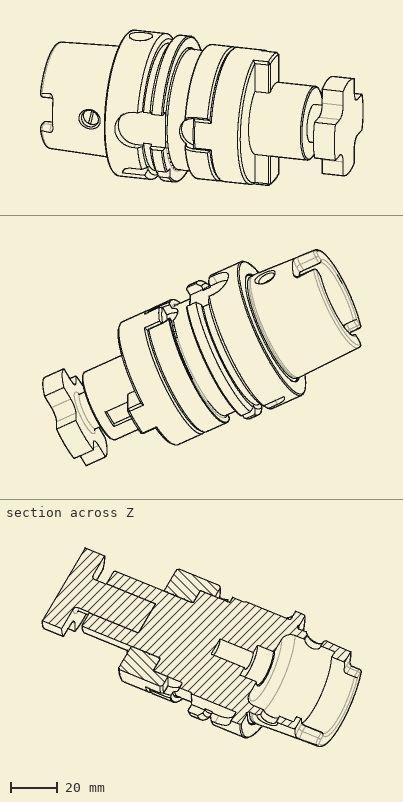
import cadquery as cq
import math

OVERALL_LENGTH = 132.0
SEAM_TURN = 30

NOSE_RADIUS = 23.0
TAPER_END_RADIUS = 24.09
TAPER_END = 30.1
NOSE_ROUND = 1.0
RELIEF_SLOPE = 0.8
RELIEF_RADIUS = 23.9
UNDERCUT_RADIUS = 25.2
UNDERCUT_DEPTH = 0.7
BORE_RADIUS = 17.0
BORE_DEPTH = 12.5
CAVITY_RADIUS = 20.0
CAVITY_FLOOR = 35.6
CAVITY_FLOOR_ROUND = 4.2
POCKET_BORE_RADIUS = 8.5
POCKET_BORE_CHAMFER = 0.4
POCKET_BORE_DEPTH = 43.5
COOLANT_RADIUS = 4.2
COOLANT_DEPTH = 59.4
SLOT_WIDTH = 12.3
SLOT_ROUND = 2.4
SLOT_FLOOR_ROUND = 1.6
FRONT_SLOT_DEPTH = 6.2
REAR_SLOT_DEPTH = 10.2
SIDE_HOLE_DIAMETER = 7.5
SIDE_HOLE_SINK_DIAMETER = 9.6
SIDE_HOLE_X = 23.0

FLANGE_START = 32.0
FLANGE_END = 58.0
FLANGE_RADIUS = 31.5
FLANGE_EDGE = 0.5
GROOVE_RADIUS = 27.5
GROOVE_CENTRE = 49.9
GROOVE_FLOOR_WIDTH = 3.4
GROOVE_MOUTH_WIDTH = 6.5
GROOVE_BEVEL_DEPTH = 2.1
KEYWAY_RADIUS = 8.0
KEYWAY_START = 36.8
KEYWAY_FLOOR = 26.5
CORNER_NOTCH = 20.0
CORNER_NOTCH_START = 42.1
CORNER_NOTCH_ROUND = 5.4
DATA_HOLE_DIAMETER = 10.0
DATA_HOLE_X = 38.8
DATA_HOLE_DEPTH = 4.0

NECK_RADIUS = 26.0
NECK_ROUND = 0.7
COLLAR_START = 67.2
COLLAR_END = 78.1
COLLAR_RADIUS = 28.97
COLLAR_REAR_CHAMFER = 0.3
EDGE_CHAMFER = 0.9
SPIGOT_RADIUS = 16.0
SPIGOT_END = 115.8
SPIGOT_CHAMFER = 0.5
KEY_SLOT_WIDTH = 8.0
KEY_SLOT_DEPTH = 3.0
KEY_SLOT_END = 110.6

LUG_WIDTH = 13.9
LUG_END_CHAMFER = 0.7
RING_FACE = 92.0
FRONT_LUG_END = 98.7
REAR_LUG_END = 70.9
DRIVE_SLOT_END = 64.2
DRIVE_SLOT_FLOOR = 23.1

SHANK_RADIUS = 8.2
SHANK_START = 92.4
HEAD_START = 122.6
HEAD_RADIUS = 21.0
HEAD_ROUND = 1.6
ARM_WIDTH = 16.4
ARM_CORNER_ROUND = 4.8


def turned(points):
    """Solid of revolution about X from (x, radius) points; both ends close on the axis."""
    outline = [(points[0][0], 0), *points, (points[-1][0], 0)]
    solid = cq.Workplane("XY").polyline(outline).close().revolve(360, (0, 0, 0), (1, 0, 0))
    return solid.rotate((0, 0, 0), (1, 0, 0), SEAM_TURN)


def block(x_range, y_range, z_range):
    size = [high - low for low, high in (x_range, y_range, z_range)]
    corner = (x_range[0], y_range[0], z_range[0])
    return cq.Workplane("XY").box(*size, centered=False).translate(corner)


def cylinder_along_y(x, z, radius, y_start, y_end):
    start = cq.Vector(x, y_start, z)
    return cq.Workplane(cq.Solid.makeCylinder(radius, y_end - y_start, start, cq.Vector(0, 1, 0)))


def taper_radius(x):
    return NOSE_RADIUS + (TAPER_END_RADIUS - NOSE_RADIUS) * x / TAPER_END


def on_radius_test(radius):
    """Test for edges that lie wholly on the cylinder of this radius about X."""
    def lies_on(edge):
        points = [edge.positionAt(part) for part in (0, 0.5, 1)]
        return all(abs(math.hypot(point.y, point.z) - radius) < 0.001 for point in points)
    return lies_on


def chamfer_rim(body, x_start):
    """Chamfer the edges around the outer collar-sized surface, beyond x_start."""
    lies_on = on_radius_test(COLLAR_RADIUS)
    rim = [edge for edge in body.edges().vals() if lies_on(edge) and edge.Center().x > x_start]
    return body.newObject(rim).chamfer(EDGE_CHAMFER)


def holder_blank():
    undercut_floor = FLANGE_START + UNDERCUT_DEPTH
    floor_half = GROOVE_FLOOR_WIDTH / 2
    mouth_half = GROOVE_MOUTH_WIDTH / 2
    bevel_radius = FLANGE_RADIUS - GROOVE_BEVEL_DEPTH
    nose = turned([(0, NOSE_RADIUS), (TAPER_END, TAPER_END_RADIUS)])
    rest = turned([
        (TAPER_END, TAPER_END_RADIUS),
        (TAPER_END + RELIEF_SLOPE, RELIEF_RADIUS),
        (FLANGE_START - UNDERCUT_DEPTH / 2, RELIEF_RADIUS),
        (undercut_floor, RELIEF_RADIUS + 1.5 * UNDERCUT_DEPTH),
        (undercut_floor, UNDERCUT_RADIUS),
        (FLANGE_START, UNDERCUT_RADIUS),
        (FLANGE_START, FLANGE_RADIUS - FLANGE_EDGE),
        (FLANGE_START + FLANGE_EDGE, FLANGE_RADIUS),
        (GROOVE_CENTRE - mouth_half, FLANGE_RADIUS),
        (GROOVE_CENTRE - floor_half, bevel_radius),
        (GROOVE_CENTRE - floor_half, GROOVE_RADIUS),
        (GROOVE_CENTRE + floor_half, GROOVE_RADIUS),
        (GROOVE_CENTRE + floor_half, bevel_radius),
        (GROOVE_CENTRE + mouth_half, FLANGE_RADIUS),
        (FLANGE_END - FLANGE_EDGE, FLANGE_RADIUS),
        (FLANGE_END, FLANGE_RADIUS - FLANGE_EDGE),
        (FLANGE_END, NECK_RADIUS),
        (COLLAR_START, NECK_RADIUS),
        (COLLAR_START, COLLAR_RADIUS - COLLAR_REAR_CHAMFER),
        (COLLAR_START + COLLAR_REAR_CHAMFER, COLLAR_RADIUS),
        (COLLAR_END, COLLAR_RADIUS),
        (COLLAR_END, SPIGOT_RADIUS),
        (SPIGOT_END - SPIGOT_CHAMFER, SPIGOT_RADIUS),
        (SPIGOT_END, SPIGOT_RADIUS - SPIGOT_CHAMFER),
    ])
    at_neck = on_radius_test(NECK_RADIUS)
    neck_ends = [edge for edge in rest.edges("%CIRCLE").vals() if at_neck(edge)]
    return nose.union(rest.newObject(neck_ends).fillet(NECK_ROUND))


def taper_cavity():
    """Clamping bore, wider cavity with a rounded floor, then a stepped bore on the axis."""
    entry = turned([
        (0, BORE_RADIUS),
        (BORE_DEPTH, BORE_RADIUS),
        (BORE_DEPTH, CAVITY_RADIUS),
        (CAVITY_FLOOR, CAVITY_RADIUS),
    ]).faces(">X").edges().fillet(CAVITY_FLOOR_ROUND)
    axis_bore = turned([
        (CAVITY_FLOOR, POCKET_BORE_RADIUS + POCKET_BORE_CHAMFER),
        (CAVITY_FLOOR + POCKET_BORE_CHAMFER, POCKET_BORE_RADIUS),
        (POCKET_BORE_DEPTH, POCKET_BORE_RADIUS),
        (POCKET_BORE_DEPTH, COOLANT_RADIUS),
        (COOLANT_DEPTH, COOLANT_RADIUS),
    ])
    return entry.union(axis_bore)


def nose_slot(depth):
    """Slot through the nose wall on the +Y side; its walls curve outward to meet the taper."""
    half = SLOT_WIDTH / 2
    surface = taper_radius(depth)
    centre_z = half + SLOT_ROUND
    centre_y = math.sqrt((surface - SLOT_ROUND) ** 2 - centre_z**2)
    angle = math.atan2(centre_z, centre_y)

    def on_rounding(turn):
        return centre_y + SLOT_ROUND * math.cos(turn), centre_z + SLOT_ROUND * math.sin(turn)

    middle = on_rounding((angle - math.pi / 2) / 2)
    tip = on_rounding(angle)
    outer = surface + 2.6
    rim = (outer * math.cos(angle), outer * math.sin(angle))
    slot = (
        cq.Workplane("YZ", origin=(-1.3, 0, 0))
        .moveTo(0, half)
        .lineTo(centre_y, half)
        .threePointArc(middle, tip)
        .lineTo(*rim)
        .lineTo(rim[0], -rim[1])
        .lineTo(tip[0], -tip[1])
        .threePointArc((middle[0], -middle[1]), (centre_y, -half))
        .lineTo(0, -half)
        .close()
        .extrude(depth + 1.3)
    )
    walls = cq.selectors.BoxSelector((depth - 0.1, 0.1, -rim[1]), (depth + 0.1, tip[0], rim[1]))
    return slot.edges(walls).fillet(SLOT_FLOOR_ROUND)


def drive_slot():
    """Slot through the collar and into the neck, with a round end."""
    radius = LUG_WIDTH / 2
    centre_x = DRIVE_SLOT_END + radius
    y_range = (DRIVE_SLOT_FLOOR, COLLAR_RADIUS + 1.3)
    straight = block((centre_x, COLLAR_END + 1.3), y_range, (-radius, radius))
    return straight.union(cylinder_along_y(centre_x, 0, radius, *y_range))


def keyway():
    """Flat-floored keyway with a round end, open towards the neck."""
    centre_x = KEYWAY_START + KEYWAY_RADIUS
    y_range = (KEYWAY_FLOOR, FLANGE_RADIUS + 1.3)
    straight = block((centre_x, FLANGE_END), y_range, (-KEYWAY_RADIUS, KEYWAY_RADIUS))
    return straight.union(cylinder_along_y(centre_x, 0, KEYWAY_RADIUS, *y_range))


def corner_notch():
    outer = FLANGE_RADIUS + 1.3
    centre_z = -CORNER_NOTCH - CORNER_NOTCH_ROUND
    y_range = (-outer, -CORNER_NOTCH)
    straight = block((CORNER_NOTCH_START, FLANGE_END), y_range, (-outer, -CORNER_NOTCH))
    return straight.union(cylinder_along_y(CORNER_NOTCH_START, centre_z, CORNER_NOTCH_ROUND, *y_range))


def side_holes():
    """One hole across both taper walls, countersunk at each outer end."""
    reach = TAPER_END_RADIUS + 1.3
    small = SIDE_HOLE_DIAMETER / 2
    sink_depth = SIDE_HOLE_SINK_DIAMETER / 2 - small
    hole = cylinder_along_y(SIDE_HOLE_X, 0, small, -reach, reach)
    for side in (1, -1):
        start = cq.Vector(SIDE_HOLE_X, side * (taper_radius(SIDE_HOLE_X) - sink_depth), 0)
        outward = cq.Vector(0, side, 0)
        sink = cq.Solid.makeCone(small, small + 2 * sink_depth, 2 * sink_depth, start, outward)
        hole = hole.union(cq.Workplane(sink))
    return hole


def data_hole():
    start = cq.Vector(DATA_HOLE_X, 0, FLANGE_RADIUS - DATA_HOLE_DEPTH)
    return cq.Workplane(cq.Solid.makeCylinder(DATA_HOLE_DIAMETER / 2, DATA_HOLE_DEPTH + 1.3, start))


def key_slot():
    half = KEY_SLOT_WIDTH / 2
    z_range = (-SPIGOT_RADIUS - 1.3, KEY_SLOT_DEPTH - SPIGOT_RADIUS)
    return block((COLLAR_END, KEY_SLOT_END), (-half, half), z_range)


def make_holder():
    body = holder_blank().cut(taper_cavity())
    body = body.cut(nose_slot(FRONT_SLOT_DEPTH).mirror("XZ")).cut(nose_slot(REAR_SLOT_DEPTH))
    body = body.faces("<X").edges().fillet(NOSE_ROUND)
    body = body.cut(side_holes())
    for slot in (keyway(), drive_slot()):
        body = body.cut(slot).cut(slot.mirror("XZ"))
    body = body.cut(corner_notch()).cut(data_hole()).cut(key_slot())
    body = body.cut(turned([(SHANK_START, SHANK_RADIUS), (SPIGOT_END, SHANK_RADIUS)]))
    return chamfer_rim(body, COLLAR_START + 2 * COLLAR_REAR_CHAMFER)


def make_drive_ring():
    half = LUG_WIDTH / 2
    reach = COLLAR_RADIUS + 1.3
    ring = turned([(REAR_LUG_END, COLLAR_RADIUS), (FRONT_LUG_END, COLLAR_RADIUS)])
    rear = block((REAR_LUG_END, COLLAR_END), (-reach, reach), (-reach, reach))
    rear_lug = block((REAR_LUG_END, COLLAR_END), (DRIVE_SLOT_FLOOR, reach), (-half, half))
    rear = rear.cut(rear_lug).cut(rear_lug.mirror("XZ"))
    front = block((RING_FACE, FRONT_LUG_END), (-reach, reach), (-reach, reach))
    front_lugs = block((RING_FACE, FRONT_LUG_END), (-half, half), (-reach, reach))
    front = front.cut(front_lugs.edges(">X and |Z").chamfer(LUG_END_CHAMFER))
    bore = turned([(REAR_LUG_END, SPIGOT_RADIUS), (FRONT_LUG_END, SPIGOT_RADIUS)])
    return chamfer_rim(ring.cut(rear).cut(front).cut(bore), REAR_LUG_END - 1.3)


def make_screw():
    half = ARM_WIDTH / 2
    inner_reach = half + 1.3
    shank = turned([(SHANK_START, SHANK_RADIUS), (HEAD_START, SHANK_RADIUS)])
    root_start = HEAD_START - HEAD_ROUND
    root_radius = SHANK_RADIUS + HEAD_ROUND
    root = turned([(root_start, SHANK_RADIUS), (HEAD_START, root_radius)])
    hollow = cq.Solid.makeTorus(root_radius, HEAD_ROUND, cq.Vector(root_start, 0, 0), cq.Vector(1, 0, 0))
    root = root.cut(cq.Workplane(hollow))
    arm = block((HEAD_START, OVERALL_LENGTH), (-half, half), (-HEAD_RADIUS, HEAD_RADIUS))
    cross = arm.union(arm.rotate((0, 0, 0), (1, 0, 0), 90))
    inner = cq.selectors.BoxSelector(
        (HEAD_START, -inner_reach, -inner_reach),
        (OVERALL_LENGTH, inner_reach, inner_reach),
    )
    cross = cross.edges("|X").edges(inner).fillet(ARM_CORNER_ROUND)
    disc = turned([(HEAD_START, HEAD_RADIUS), (OVERALL_LENGTH, HEAD_RADIUS)])
    return shank.union(root).union(cross.intersect(disc))


holder = make_holder()
drive_ring = make_drive_ring()
screw = make_screw()
result = cq.Compound.makeCompound([holder.val(), drive_ring.val(), screw.val()])